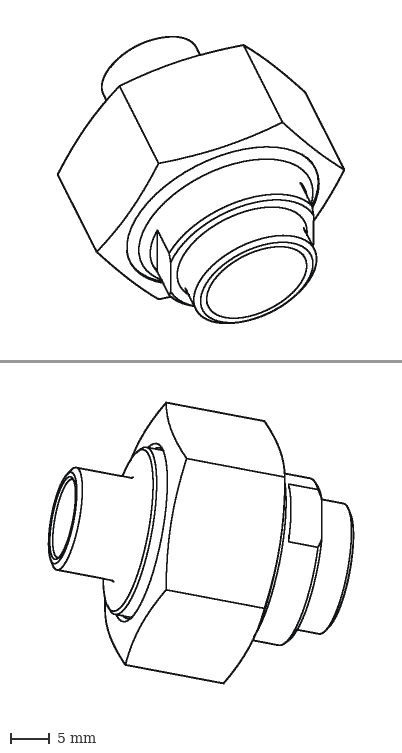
import cadquery as cq
import math


LENGTH = 37.0
FLANGE_START = 8.88
NUT_START = 10.47
NUT_END = 25.45
LIP_END = 13.45
JOINT = 16.45
CONE_END = 26.45
NECK_START = 27.2
FLAT_START = 27.5
NECK_END = 32.0

PIPE_DIAMETER = 13.5
PIPE_BORE = 10.3
FLANGE_DIAMETER = 22.0
COLLAR_DIAMETER = 25.0
PIPE_FILLET = 1.0
FLANGE_CHAMFER = 0.37
BORE_CHAMFER = 0.3

BEVEL_LENGTH = 0.5
BEVEL_DEPTH = 0.75

ACROSS_FLATS = 30.0
LIP_BORE = 22.5
THREAD_DIAMETER = 26.85
LIP_CHAMFER = 0.48
NUT_FACE_DIAMETER = 29.45
NUT_BEVEL_LENGTH = 0.8
NUT_TURN = 30

NECK_DIAMETER = 22.0
NECK_ACROSS_FLATS = 19.98
NECK_CHAMFER = 0.5
CONE_FACE_RADIUS = 13.17
SOCKET_DIAMETER = 17.2
SOCKET_BORE = 14.0
NECK_FILLET = NECK_START - CONE_END
SOCKET_FILLET = 0.78
SOCKET_FILLET_RISE = 0.48


def revolve_about_x(profile):
    """Turn a closed (x, radius) profile about the X axis."""
    return profile.close().revolve(360, (0, 0, 0), (1, 0, 0))


def make_nipple():
    pipe = PIPE_DIAMETER / 2
    bore = PIPE_BORE / 2
    flange = FLANGE_DIAMETER / 2
    collar = COLLAR_DIAMETER / 2
    profile = (
        cq.Workplane("XY")
        .moveTo(0, bore + BORE_CHAMFER)
        .lineTo(0, pipe - BEVEL_DEPTH)
        .lineTo(BEVEL_LENGTH, pipe)
        .lineTo(FLANGE_START - PIPE_FILLET, pipe)
        .radiusArc((FLANGE_START, pipe + PIPE_FILLET), -PIPE_FILLET)
        .lineTo(FLANGE_START, flange - FLANGE_CHAMFER)
        .lineTo(FLANGE_START + FLANGE_CHAMFER, flange)
        .lineTo(LIP_END, flange)
        .lineTo(LIP_END, collar)
        .lineTo(JOINT, collar)
        .lineTo(JOINT, bore)
        .lineTo(BORE_CHAMFER, bore)
    )
    return revolve_about_x(profile)


def make_nut_bevel_envelope():
    """Round body whose conical ends bevel the hexagon corners."""
    face = NUT_FACE_DIAMETER / 2
    corner = ACROSS_FLATS / math.sqrt(3)
    profile = (
        cq.Workplane("XY")
        .moveTo(NUT_START, 0)
        .lineTo(NUT_START, face)
        .lineTo(NUT_START + NUT_BEVEL_LENGTH, corner)
        .lineTo(NUT_END - NUT_BEVEL_LENGTH, corner)
        .lineTo(NUT_END, face)
        .lineTo(NUT_END, 0)
    )
    return revolve_about_x(profile)


def make_nut_cavity():
    lip = LIP_BORE / 2
    thread = THREAD_DIAMETER / 2
    profile = (
        cq.Workplane("XY")
        .moveTo(NUT_START, 0)
        .lineTo(NUT_START, lip + LIP_CHAMFER)
        .lineTo(NUT_START + LIP_CHAMFER, lip)
        .lineTo(LIP_END, lip)
        .lineTo(LIP_END, thread)
        .lineTo(NUT_END, thread)
        .lineTo(NUT_END, 0)
    )
    return revolve_about_x(profile)


def make_nut():
    hexagon = (
        cq.Workplane("YZ")
        .workplane(offset=NUT_START)
        .polygon(6, ACROSS_FLATS, circumscribed=True)
        .extrude(NUT_END - NUT_START)
        .rotate((0, 0, 0), (1, 0, 0), NUT_TURN)
    )
    return hexagon.intersect(make_nut_bevel_envelope()).cut(make_nut_cavity())


def make_turned_tail():
    thread = THREAD_DIAMETER / 2
    neck = NECK_DIAMETER / 2
    socket = SOCKET_DIAMETER / 2
    bore = SOCKET_BORE / 2
    cone_start = NUT_END - (thread - CONE_FACE_RADIUS)
    cone_end_radius = CONE_FACE_RADIUS - (CONE_END - NUT_END)
    fillet_run = math.sqrt(SOCKET_FILLET**2 - (SOCKET_FILLET - SOCKET_FILLET_RISE) ** 2)
    profile = (
        cq.Workplane("XY")
        .moveTo(JOINT, bore)
        .lineTo(JOINT, thread)
        .lineTo(cone_start, thread)
        .lineTo(CONE_END, cone_end_radius)
        .lineTo(CONE_END, neck + NECK_FILLET)
        .radiusArc((NECK_START, neck), -NECK_FILLET)
        .lineTo(NECK_END - NECK_CHAMFER, neck)
        .lineTo(NECK_END, neck - NECK_CHAMFER)
        .lineTo(NECK_END, socket + SOCKET_FILLET_RISE)
        .radiusArc((NECK_END + fillet_run, socket), -SOCKET_FILLET)
        .lineTo(LENGTH - BEVEL_LENGTH, socket)
        .lineTo(LENGTH, socket - BEVEL_DEPTH)
        .lineTo(LENGTH, bore)
    )
    return revolve_about_x(profile)


def cut_wrench_flats(tail):
    """Mill a flat on each Y side of the neck."""
    cut_depth = THREAD_DIAMETER / 2
    for side in (1, -1):
        cutter = cq.Workplane("XY").box(
            NECK_END - FLAT_START, cut_depth, THREAD_DIAMETER, centered=(False, True, True)
        )
        offset = side * (NECK_ACROSS_FLATS + cut_depth) / 2
        tail = tail.cut(cutter.translate((FLAT_START, offset, 0)))
    return tail


nipple = make_nipple()
nut = make_nut()
tail_piece = cut_wrench_flats(make_turned_tail())

result = cq.Compound.makeCompound([nipple.val(), nut.val(), tail_piece.val()])